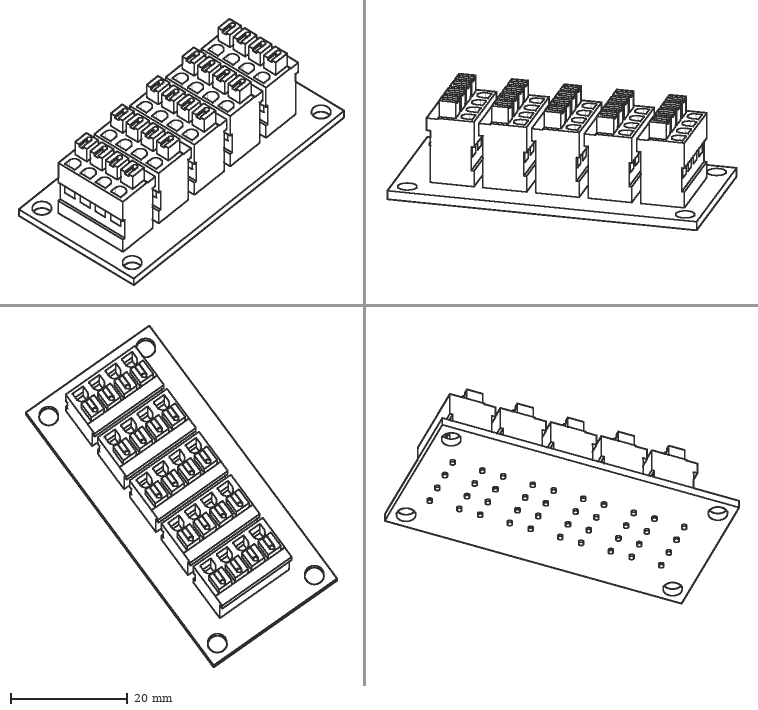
import cadquery as cq

BOARD_WIDTH = 26.2
BOARD_LENGTH = 55.1
BOARD_THICKNESS = 1.6
CORNER_HOLE_DIAMETER = 3.3
CORNER_HOLE_MARGIN = 2.8

BLOCK_COUNT = 5
BLOCK_PITCH = 9.35
BLOCK_ROW_MARGIN = 3.75
POLE_COUNT = 4
POLE_PITCH = 3.5

HOUSING_WIDTH = 14.7
HOUSING_DEPTH = 7.75
HOUSING_HEIGHT = 11.95
BACK_LIP_DEPTH = 0.7
BACK_LIP_HEIGHT = 2.25
BACK_STEP_DROP = 0.15
FRONT_GROOVE_DEPTH = 0.5
FRONT_GROOVE_BOTTOM = 2.9
FRONT_GROOVE_TOP = 7.3

WIRE_HOLE_WIDTH = 2.25
WIRE_HOLE_LENGTH = 2.25
WIRE_HOLE_DEPTH = 6.95
GROOVE_WALL = 0.08
WIRE_HOLE_FRONT = FRONT_GROOVE_DEPTH + GROOVE_WALL

LEVER_BACK_MARGIN = 2.05
LEVER_WIDTH = 2.7
LEVER_DEPTH = 3.0
LEVER_HEIGHT = 3.0
LEVER_BACK = HOUSING_DEPTH + BACK_LIP_DEPTH - LEVER_BACK_MARGIN
LEVER_FRONT = LEVER_BACK - LEVER_DEPTH
LEVER_HOLE_DIAMETER = 0.9
LEVER_HOLE_DEPTH = 1.0
LEVER_HOLE_SETBACK = 2.2
SLOT_WIDTH = LEVER_HOLE_DIAMETER
SLOT_DEPTH = LEVER_HOLE_DEPTH / 2

PIN_DIAMETER = 0.9
PIN_PROTRUSION = 0.45
PIN_SPACING = 5.5
FRONT_PIN_SETBACK = 1.4

first_block_y = -BOARD_LENGTH / 2 + BLOCK_ROW_MARGIN
block_positions = [first_block_y + i * BLOCK_PITCH for i in range(BLOCK_COUNT)]
pole_positions = [(i - (POLE_COUNT - 1) / 2) * POLE_PITCH for i in range(POLE_COUNT)]
pin_points = [
    (x, y)
    for x in pole_positions
    for y in (FRONT_PIN_SETBACK, FRONT_PIN_SETBACK + PIN_SPACING)
]


def make_board():
    """Plate with corner holes and a fitting hole for every solder pin."""
    board = cq.Workplane("XY").box(
        BOARD_WIDTH, BOARD_LENGTH, BOARD_THICKNESS, centered=(True, True, False)
    )
    board = board.translate((0, 0, -BOARD_THICKNESS))
    hole_span_x = BOARD_WIDTH - 2 * CORNER_HOLE_MARGIN
    hole_span_y = BOARD_LENGTH - 2 * CORNER_HOLE_MARGIN
    corner_holes = (
        cq.Workplane("XY")
        .rect(hole_span_x, hole_span_y, forConstruction=True)
        .vertices()
        .circle(CORNER_HOLE_DIAMETER / 2)
        .extrude(-BOARD_THICKNESS)
    )
    board = board.cut(corner_holes)
    for block_y in block_positions:
        pin_holes = (
            cq.Workplane("XY", origin=(0, block_y, 0))
            .pushPoints(pin_points)
            .circle(PIN_DIAMETER / 2)
            .extrude(-BOARD_THICKNESS)
        )
        board = board.cut(pin_holes)
    return board


def make_housing():
    """Side profile with the front groove, back lip and lowered back step, extruded across X."""
    back_top = HOUSING_HEIGHT - BACK_STEP_DROP
    lip_bottom = back_top - BACK_LIP_HEIGHT
    lip_back = HOUSING_DEPTH + BACK_LIP_DEPTH
    return (
        cq.Workplane("YZ")
        .moveTo(0, 0)
        .lineTo(HOUSING_DEPTH, 0)
        .lineTo(HOUSING_DEPTH, lip_bottom)
        .lineTo(lip_back, lip_bottom)
        .lineTo(lip_back, back_top)
        .lineTo(LEVER_BACK, back_top)
        .lineTo(LEVER_BACK, HOUSING_HEIGHT)
        .lineTo(0, HOUSING_HEIGHT)
        .lineTo(0, FRONT_GROOVE_TOP)
        .lineTo(FRONT_GROOVE_DEPTH, FRONT_GROOVE_TOP)
        .lineTo(FRONT_GROOVE_DEPTH, FRONT_GROOVE_BOTTOM)
        .lineTo(0, FRONT_GROOVE_BOTTOM)
        .close()
        .extrude(HOUSING_WIDTH / 2, both=True)
    )


def make_wire_hole(pole_x):
    """Cutter for one wire entry: flat front, parallel sides, half-round back."""
    radius = WIRE_HOLE_WIDTH / 2
    return (
        cq.Workplane("XY", origin=(pole_x, WIRE_HOLE_FRONT, HOUSING_HEIGHT))
        .moveTo(-radius, 0)
        .lineTo(radius, 0)
        .lineTo(radius, WIRE_HOLE_LENGTH - radius)
        .threePointArc((0, WIRE_HOLE_LENGTH), (-radius, WIRE_HOLE_LENGTH - radius))
        .close()
        .extrude(-WIRE_HOLE_DEPTH)
    )


def make_lever(pole_x):
    """Rectangular lever whose top has a round hole and a slot running from it to the front."""
    lever_top = HOUSING_HEIGHT + LEVER_HEIGHT
    lever = (
        cq.Workplane("XY", origin=(pole_x, LEVER_FRONT, HOUSING_HEIGHT))
        .box(LEVER_WIDTH, LEVER_DEPTH, LEVER_HEIGHT, centered=(True, False, False))
    )
    slot = (
        cq.Workplane("XY", origin=(pole_x, LEVER_FRONT, lever_top - SLOT_DEPTH))
        .box(SLOT_WIDTH, LEVER_HOLE_SETBACK, SLOT_DEPTH, centered=(True, False, False))
    )
    hole = (
        cq.Workplane("XY", origin=(pole_x, LEVER_FRONT + LEVER_HOLE_SETBACK, lever_top))
        .circle(LEVER_HOLE_DIAMETER / 2)
        .extrude(-LEVER_HOLE_DEPTH)
    )
    return lever.cut(slot).cut(hole)


def make_terminal_block(block_y):
    """One block with its levers and solder pins, its front face at block_y."""
    block = make_housing()
    for pole_x in pole_positions:
        block = block.cut(make_wire_hole(pole_x)).union(make_lever(pole_x))
    pins = (
        cq.Workplane("XY")
        .pushPoints(pin_points)
        .circle(PIN_DIAMETER / 2)
        .extrude(-(BOARD_THICKNESS + PIN_PROTRUSION))
    )
    return block.union(pins).translate((0, block_y, 0))


board = make_board()
terminal_blocks = [make_terminal_block(block_y) for block_y in block_positions]

result = cq.Compound.makeCompound([board.val(), *[block.val() for block in terminal_blocks]])